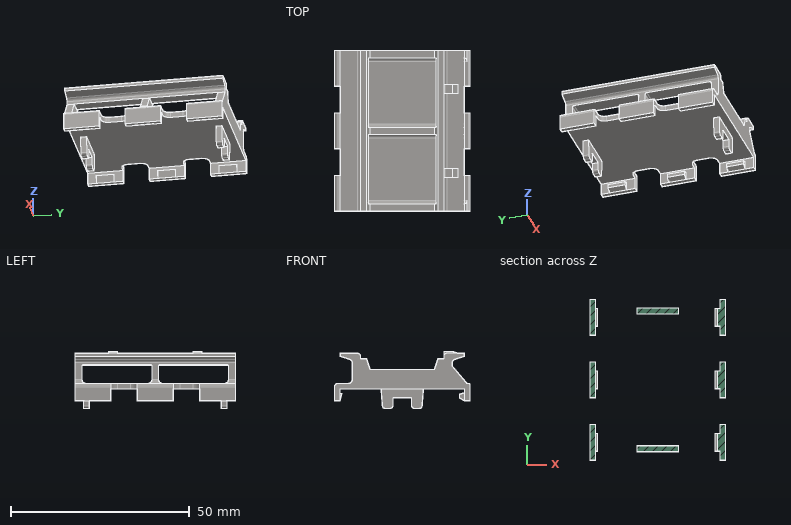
import cadquery as cq

LENGTH = 45.0
WIDTH = 38.0
PLATE = 1.6

SKIRT = 1.6
SKIRT_DROP = 3.35
LEFT_SKIRT_RADIUS = 1.05
RIGHT_SKIRT_RADIUS = 0.5

WALL_X = 14.0
WALL_BASE_RADIUS = 1.1
FLANGE_TOP = 10.05
FLANGE_TIP_X = WIDTH / 2 - SKIRT
FLANGE_TIP_Z = 9.15
FLANGE_ROOT_Z = 8.05
FLANGE_ROOT_RADIUS = 0.9
FLANGE_EDGE_X = 11.6
FLANGE_EDGE_RADIUS = 0.9
STEP_X = 9.95
STEP_Z = 8.5
CHANNEL_X = 8.95
CHANNEL_Z = 5.5
BUTTRESS_TOP_Z = 6.45
BUTTRESS_FOOT_X = 18.1

MIDDLE_RIB = 1.95
END_RIB = 2.05
WINDOW_TOP = 6.9
WINDOW_EXIT_TOP = 6.52
WINDOW_SLOPE_START_X = 9.4
WINDOW_SLOPE_END_X = 10.35
WINDOW_TOP_RADIUS = 0.45
WINDOW_BASE_RADIUS = 1.0

NOTCH_Y = 8.75
NOTCH_WIDTH = 7.4
NOTCH_DEPTH = 5.15
NOTCH_RADIUS = 1.9

FOOT_DROP = 5.45
FOOT_TOP_HALF = 5.95
FOOT_BOTTOM_HALF = 5.55
FOOT_SLOT_HALF = 2.55
FOOT_SLOT_Z = -2.45
FOOT_THICKNESS = 1.7
FOOT_Y = 19.25
FOOT_RADIUS = 0.8

CLIP_Y = 11.75
CLIP_WIDTH = 2.5
CLIP_TOP = 10.58
CLIP_CREST_X = 14.05
CLIP_END_X = 15.52
CLIP_RADIUS = 0.35

HOOK_LENGTH = 5.05
LEFT_HOOK_REACH = 0.55
LEFT_HOOK_TOP = -1.2
RIGHT_HOOK_REACH = 1.4
RIGHT_HOOK_TOP = -1.0
RIGHT_HOOK_NOSE_TOP = -1.45
RIGHT_HOOK_NOSE_BOTTOM = -2.48

CUT_X = WIDTH


def prism(points, length, y_mid=0.0):
    """Extrude an XZ outline along Y, centred on y_mid."""
    sketch = cq.Workplane("XZ", origin=(0, y_mid, 0)).polyline(points).close()
    return sketch.extrude(length / 2, both=True)


def round_edge(body, corner, radius):
    """Round the edge along Y that passes through the given XZ corner."""
    x, z = corner
    reach = 0.022
    box = cq.selectors.BoxSelector((x - reach, -LENGTH, z - reach), (x + reach, LENGTH, z + reach))
    return body.edges("|Y").edges(box).fillet(radius)


def make_body():
    edge_x = WIDTH / 2
    inner_x = edge_x - SKIRT
    outline = [
        (-inner_x, 0),
        (-inner_x, -SKIRT_DROP),
        (-edge_x, -SKIRT_DROP),
        (-edge_x, PLATE),
        (-WALL_X, PLATE),
        (-WALL_X, FLANGE_ROOT_Z),
        (-FLANGE_TIP_X, FLANGE_TIP_Z),
        (-FLANGE_TIP_X, FLANGE_TOP),
        (-FLANGE_EDGE_X, FLANGE_TOP),
        (-FLANGE_EDGE_X, STEP_Z),
        (-STEP_X, STEP_Z),
        (-CHANNEL_X, CHANNEL_Z),
        (CHANNEL_X, CHANNEL_Z),
        (STEP_X, STEP_Z),
        (FLANGE_EDGE_X, STEP_Z),
        (FLANGE_EDGE_X, FLANGE_TOP),
        (FLANGE_TIP_X, FLANGE_TOP),
        (FLANGE_TIP_X, FLANGE_TIP_Z),
        (WALL_X, FLANGE_ROOT_Z),
        (WALL_X, BUTTRESS_TOP_Z),
        (BUTTRESS_FOOT_X, PLATE),
        (edge_x, PLATE),
        (edge_x, -SKIRT_DROP),
        (inner_x, -SKIRT_DROP),
        (inner_x, 0),
    ]
    body = prism(outline, LENGTH)
    body = round_edge(body, (-edge_x, PLATE), LEFT_SKIRT_RADIUS)
    body = round_edge(body, (edge_x, PLATE), RIGHT_SKIRT_RADIUS)
    body = round_edge(body, (-WALL_X, PLATE), WALL_BASE_RADIUS)
    for side in (-1, 1):
        body = round_edge(body, (side * WALL_X, FLANGE_ROOT_Z), FLANGE_ROOT_RADIUS)
        body = round_edge(body, (side * FLANGE_EDGE_X, FLANGE_TOP), FLANGE_EDGE_RADIUS)
    return body


def make_window(side):
    """Opening across the whole width, its roof dipping inside the right wall."""
    near = MIDDLE_RIB / 2
    far = LENGTH / 2 - END_RIB
    outline = [
        (-CUT_X, PLATE),
        (-CUT_X, WINDOW_TOP),
        (WINDOW_SLOPE_START_X, WINDOW_TOP),
        (WINDOW_SLOPE_END_X, WINDOW_EXIT_TOP),
        (CUT_X, WINDOW_EXIT_TOP),
        (CUT_X, PLATE),
    ]
    window = prism(outline, far - near, side * (near + far) / 2)
    window = window.faces("<Z").edges("|X").fillet(WINDOW_BASE_RADIUS)
    return window.faces(">Z").edges("|X").fillet(WINDOW_TOP_RADIUS)


def make_buttress_gap():
    """Space that trims the foot of the middle buttress flush with the flange tip."""
    span = MIDDLE_RIB + 2 * WINDOW_BASE_RADIUS
    outline = [
        (FLANGE_TIP_X, PLATE),
        (FLANGE_TIP_X, WINDOW_EXIT_TOP),
        (CUT_X, WINDOW_EXIT_TOP),
        (CUT_X, PLATE),
    ]
    return prism(outline, span)


def make_notch(x_side, y_side):
    """Cutter for one edge notch, rounded at its inner corners."""
    notch = cq.Workplane("XY").box(2 * NOTCH_DEPTH, NOTCH_WIDTH, 2 * (PLATE + SKIRT_DROP))
    notch = notch.edges("|Z").fillet(NOTCH_RADIUS)
    return notch.translate((x_side * WIDTH / 2, y_side * NOTCH_Y, 0))


def make_foot(side):
    outline = [
        (-FOOT_TOP_HALF, 0),
        (-FOOT_BOTTOM_HALF, -FOOT_DROP),
        (-FOOT_SLOT_HALF, -FOOT_DROP),
        (-FOOT_SLOT_HALF, FOOT_SLOT_Z),
        (FOOT_SLOT_HALF, FOOT_SLOT_Z),
        (FOOT_SLOT_HALF, -FOOT_DROP),
        (FOOT_BOTTOM_HALF, -FOOT_DROP),
        (FOOT_TOP_HALF, 0),
    ]
    foot = prism(outline, FOOT_THICKNESS, side * FOOT_Y)
    return foot.faces("<Z").edges("|Y").fillet(FOOT_RADIUS)


def make_clip(side):
    outline = [
        (FLANGE_EDGE_X, FLANGE_TIP_Z),
        (FLANGE_EDGE_X, CLIP_TOP),
        (CLIP_CREST_X, CLIP_TOP),
        (CLIP_END_X, FLANGE_TOP),
        (CLIP_END_X, FLANGE_TIP_Z),
    ]
    clip = prism(outline, CLIP_WIDTH, side * CLIP_Y)
    return round_edge(clip, (FLANGE_EDGE_X, CLIP_TOP), CLIP_RADIUS)


def make_hooks(y_mid):
    face_x = WIDTH / 2 - SKIRT
    left = [
        (-face_x, LEFT_HOOK_TOP),
        (-face_x + LEFT_HOOK_REACH, LEFT_HOOK_TOP),
        (-face_x, -SKIRT_DROP),
    ]
    right = [
        (face_x, RIGHT_HOOK_TOP),
        (face_x - RIGHT_HOOK_REACH, RIGHT_HOOK_NOSE_TOP),
        (face_x - RIGHT_HOOK_REACH, RIGHT_HOOK_NOSE_BOTTOM),
        (face_x, -SKIRT_DROP),
    ]
    return prism(left, HOOK_LENGTH, y_mid).union(prism(right, HOOK_LENGTH, y_mid))


result = make_body().cut(make_buttress_gap())
for y_side in (-1, 1):
    result = result.cut(make_window(y_side))
    for x_side in (-1, 1):
        result = result.cut(make_notch(x_side, y_side))
    result = result.union(make_foot(y_side)).union(make_clip(y_side))
for y_mid in (-2 * NOTCH_Y, 0, 2 * NOTCH_Y):
    result = result.union(make_hooks(y_mid))